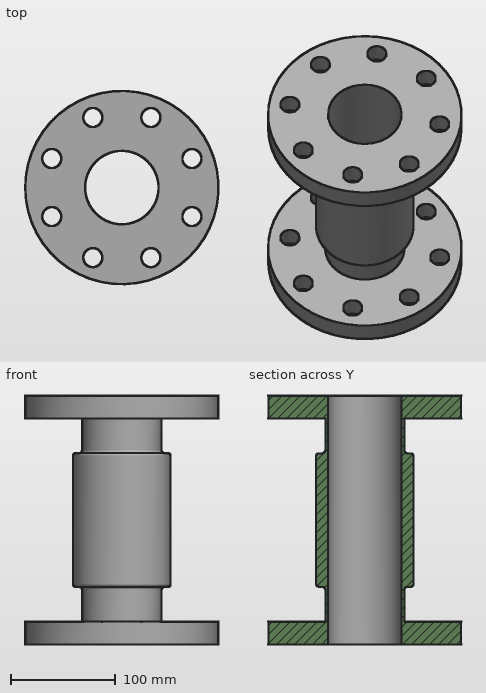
import cadquery as cq

total_length = 238.0

flange_diameter = 185.0
flange_thickness = 22.0
bolt_circle_diameter = 145.0
bolt_hole_diameter = 18.0
bolt_count = 8

pipe_diameter = 76.1
bore_diameter = 70.0
body_diameter = 93.5
body_length = 128.0
body_edge_radius = 2.7
body_root_radius = 2.7

flange_radius = flange_diameter / 2
pipe_radius = pipe_diameter / 2
bore_radius = bore_diameter / 2
body_radius = body_diameter / 2
end_z = total_length / 2
flange_inner_z = end_z - flange_thickness
body_end_z = body_length / 2


def make_turned_shape():
    """Flanges, pipe, rounded body and bore, turned in one piece from the half section at -X."""
    section = (
        cq.Workplane("XZ")
        .moveTo(-bore_radius, -end_z)
        .lineTo(-flange_radius, -end_z)
        .lineTo(-flange_radius, -flange_inner_z)
        .lineTo(-pipe_radius, -flange_inner_z)
        .lineTo(-pipe_radius, -body_end_z - body_root_radius)
        .radiusArc((-pipe_radius - body_root_radius, -body_end_z), -body_root_radius)
        .lineTo(-body_radius + body_edge_radius, -body_end_z)
        .radiusArc((-body_radius, -body_end_z + body_edge_radius), body_edge_radius)
        .lineTo(-body_radius, body_end_z - body_edge_radius)
        .radiusArc((-body_radius + body_edge_radius, body_end_z), body_edge_radius)
        .lineTo(-pipe_radius - body_root_radius, body_end_z)
        .radiusArc((-pipe_radius, body_end_z + body_root_radius), -body_root_radius)
        .lineTo(-pipe_radius, flange_inner_z)
        .lineTo(-flange_radius, flange_inner_z)
        .lineTo(-flange_radius, end_z)
        .lineTo(-bore_radius, end_z)
        .close()
    )
    return section.revolve(360, (0, 0, 0), (0, 1, 0))


def make_bolt_holes():
    """Cutters through both flanges, spaced so that no hole lies on the X or Y axis."""
    first_hole_angle = 360 / bolt_count / 2
    return (
        cq.Workplane("XY")
        .polarArray(bolt_circle_diameter / 2, first_hole_angle, 360, bolt_count)
        .circle(bolt_hole_diameter / 2)
        .extrude(end_z, both=True)
    )


result = make_turned_shape().cut(make_bolt_holes())